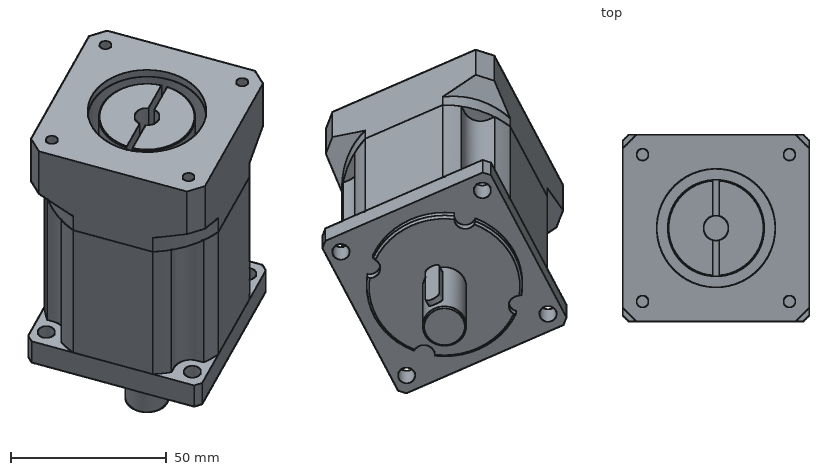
import cadquery as cq
import math

flange_thickness = 9.5
body_top = 64.0
adapter_height = 31.0
adapter_top = body_top + adapter_height

side = 60.0
half_side = side / 2
body_corner_radius = 33.0
flange_corner_chamfer = 2.0

flange_hole_diameter = 5.5
flange_bolt_circle = 70.0
flange_hole_angle = math.radians(44.0)
flange_hole_x = flange_bolt_circle / 2 * math.cos(flange_hole_angle)
flange_hole_y = flange_bolt_circle / 2 * math.sin(flange_hole_angle)
notch_radius = 5.75
notch_offset = flange_bolt_circle / 2 / math.sqrt(2) - notch_radius

boss_diameter = 50.0
boss_height = 3.0
boss_chamfer = 0.8
scallop_radius = 3.5
scallop_first_angle = 41.0

shaft_diameter = 14.0
shaft_length = 30.0
shaft_chamfer = 0.5
shaft_end = -boss_height - shaft_length
key_width = 5.0
key_length = 25.0
key_height = 5.0
key_top = 9.0
key_start = 1.5
key_mid_z = -boss_height - key_start - key_length / 2

adapter_corner_chamfer = 4.5
adapter_straight_height = 19.0
undercut_angle = 35.0
pilot_bore_diameter = 38.1
pilot_bore_depth = 3.0
clearance_bore_diameter = 38.0
motor_hole_square = 47.14
motor_hole_diameter = 3.8
motor_hole_depth = 12.0

hub_diameter = 31.0
hub_chamfer = 0.3
hub_recess = 2.5
hub_bore_diameter = 8.0
hub_bore_depth = 25.0
hub_slot_width = 2.0
hub_slot_depth = 15.0
hub_top = adapter_top - hub_recess

corner_angles = [45, 135, 225, 315]


def plane_at(z):
    return cq.Workplane("XY", origin=(0, 0, z))


def make_notched_block():
    """Square block with its corners rounded about the Z axis and a filleted notch along each corner."""
    height = body_top - flange_thickness
    block = plane_at(flange_thickness).rect(side, side).extrude(height)
    block = block.intersect(plane_at(flange_thickness).circle(body_corner_radius).extrude(height))
    notch = (
        plane_at(flange_thickness)
        .center(notch_offset, notch_offset)
        .rect(half_side, half_side, centered=False)
        .extrude(height)
        .edges("|Z and <X and <Y")
        .fillet(notch_radius)
    )
    for angle in corner_angles:
        block = block.cut(notch.rotate((0, 0, 0), (0, 0, 1), angle - corner_angles[0]))
    return block


def make_flange():
    flange = plane_at(0).rect(side, side).extrude(flange_thickness)
    flange = flange.edges("|Z").chamfer(flange_corner_chamfer)
    holes = (
        plane_at(0)
        .rect(2 * flange_hole_x, 2 * flange_hole_y, forConstruction=True)
        .vertices()
        .circle(flange_hole_diameter / 2)
        .extrude(flange_thickness)
    )
    return flange.cut(holes)


def make_boss():
    """Pilot boss with four round scallops centred on its rim."""
    boss = plane_at(0).circle(boss_diameter / 2).extrude(-boss_height)
    boss = boss.faces("<Z").edges().chamfer(boss_chamfer)
    scallops = (
        plane_at(0)
        .polarArray(boss_diameter / 2, scallop_first_angle, 360, 4)
        .circle(scallop_radius)
        .extrude(-boss_height)
    )
    return boss.cut(scallops)


def make_shaft():
    shaft = plane_at(0).circle(shaft_diameter / 2).extrude(shaft_end)
    return shaft.faces("<Z").edges().chamfer(shaft_chamfer)


def make_key():
    """Round-ended key lying along the shaft on its +Y side."""
    return (
        cq.Workplane("XZ", origin=(0, key_top, key_mid_z))
        .slot2D(key_length, key_width, 90)
        .extrude(key_height)
    )


def make_hub():
    hub = plane_at(body_top).circle(hub_diameter / 2).extrude(hub_top - body_top)
    hub = hub.faces(">Z").edges().chamfer(hub_chamfer)
    hub = hub.cut(plane_at(hub_top).circle(hub_bore_diameter / 2).extrude(-hub_bore_depth))
    return hub.cut(plane_at(hub_top).rect(hub_slot_width, hub_diameter).extrude(-hub_slot_depth))


def make_corner_undercut():
    """Wedge under one adapter corner, kept clear of the round body outline."""
    reach = side
    chamfer_distance = (side - adapter_corner_chamfer) / math.sqrt(2)
    slope = math.tan(math.radians(undercut_angle))
    slope_start = adapter_top - adapter_straight_height
    inner_z = slope_start - chamfer_distance * slope
    wedge = (
        cq.Workplane("XZ")
        .moveTo(0, inner_z)
        .lineTo(chamfer_distance, slope_start)
        .lineTo(reach, slope_start)
        .lineTo(reach, inner_z)
        .close()
        .extrude(half_side, both=True)
    )
    core = plane_at(inner_z).circle(body_corner_radius).extrude(slope_start - inner_z)
    return wedge.cut(core)


def make_adapter():
    adapter = plane_at(body_top).rect(side, side).extrude(adapter_height)
    adapter = adapter.edges("|Z").chamfer(adapter_corner_chamfer)
    undercut = make_corner_undercut()
    for angle in corner_angles:
        adapter = adapter.cut(undercut.rotate((0, 0, 0), (0, 0, 1), angle))
    adapter = adapter.cut(plane_at(body_top).circle(clearance_bore_diameter / 2).extrude(adapter_height))
    adapter = adapter.cut(plane_at(adapter_top).circle(pilot_bore_diameter / 2).extrude(-pilot_bore_depth))
    return (
        adapter.faces(">Z")
        .workplane(origin=(0, 0, adapter_top))
        .rect(motor_hole_square, motor_hole_square, forConstruction=True)
        .vertices()
        .hole(motor_hole_diameter, motor_hole_depth)
    )


def make_body():
    return make_notched_block().union(make_hub())


def make_output_end():
    """Flange with its pilot boss, output shaft and shaft key."""
    return make_flange().union(make_boss()).union(make_shaft()).union(make_key())


output_end = make_output_end()
body = make_body()
adapter = make_adapter()

result = cq.Compound.makeCompound([output_end.val(), body.val(), adapter.val()])